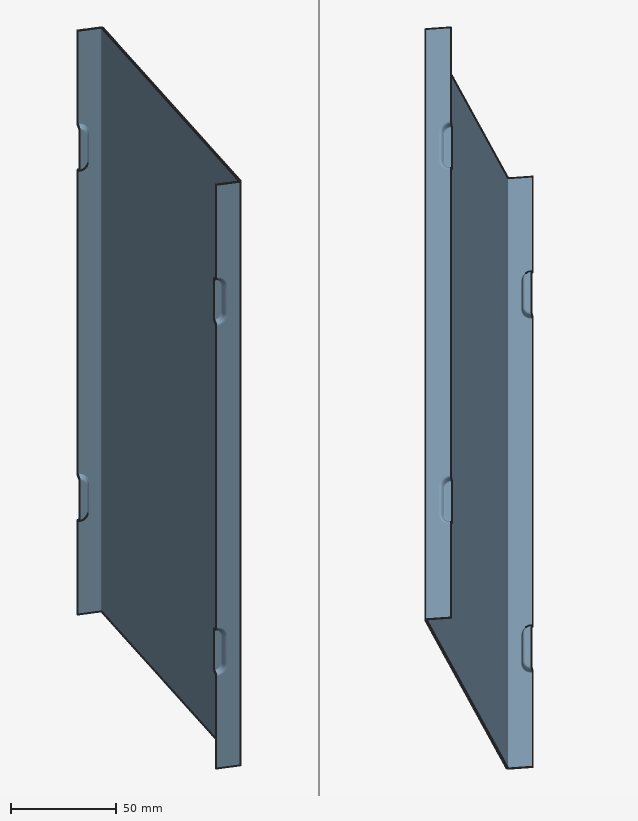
import cadquery as cq
import math

WIDTH = 202.2
DEPTH = 12.5
HEIGHT = 300.0
SHEET = 0.8
FOLD_RADIUS = 0.45

RECESS_HEIGHTS = (-90.0, 90.0)
MOUTH_LENGTH = 25.0
MOUTH_DEPTH = 5.7
MOUTH_CORNER = 5.5
PRESS_DEPTH = 2.7
BEND_RADIUS = 0.5
WALL_ANGLE = math.radians(65)

BEND_SUM = 2 * BEND_RADIUS + SHEET
WALL_RUN = (PRESS_DEPTH - BEND_SUM * (1 - math.cos(WALL_ANGLE))) / math.sin(WALL_ANGLE)
WALL_WIDTH = BEND_SUM * math.sin(WALL_ANGLE) + WALL_RUN * math.cos(WALL_ANGLE)

LEFT_X = -WIDTH / 2
FRONT_Y = -DEPTH / 2


def tray():
    """Back panel and two plain flanges, full height."""
    outer_radius = FOLD_RADIUS + SHEET
    channel_width = WIDTH - 2 * SHEET
    block = cq.Workplane("XY").box(WIDTH, DEPTH, HEIGHT).edges("|Z and >Y").fillet(outer_radius)
    channel = (
        cq.Workplane("XY", origin=(0, -SHEET, 0))
        .box(channel_width, DEPTH, HEIGHT)
        .edges("|Z and >Y")
        .fillet(FOLD_RADIUS)
    )
    return block.cut(channel)


def recess_edge(offset):
    """Open outline of a recess on the flange face, moved inward from its mouth."""
    half = MOUTH_LENGTH / 2 - offset
    back = FRONT_Y + MOUTH_DEPTH - offset
    corner = MOUTH_CORNER - offset
    inset = corner * (1 - math.sqrt(0.5))
    return (
        cq.Workplane("YZ", origin=(LEFT_X, 0, 0))
        .moveTo(FRONT_Y, -half)
        .lineTo(back - corner, -half)
        .threePointArc((back - inset, -half + inset), (back, -half + corner))
        .lineTo(back, half - corner)
        .threePointArc((back - inset, half - inset), (back - corner, half))
        .lineTo(FRONT_Y, half)
    )


def recess_wall():
    """S-shaped strip of sheet swept around the recess edge."""
    tight = BEND_RADIUS
    wide = BEND_RADIUS + SHEET

    def entry_bend(radius, angle):
        return (wide - radius * math.cos(angle), radius * math.sin(angle))

    def floor_bend(radius, angle):
        return (PRESS_DEPTH - tight + radius * math.cos(angle), WALL_WIDTH - radius * math.sin(angle))

    half_angle = WALL_ANGLE / 2
    start = (LEFT_X, FRONT_Y, -MOUTH_LENGTH / 2)
    section = (
        cq.Workplane(cq.Plane(origin=start, xDir=(1, 0, 0), normal=(0, -1, 0)))
        .moveTo(*entry_bend(wide, 0))
        .threePointArc(entry_bend(wide, half_angle), entry_bend(wide, WALL_ANGLE))
        .lineTo(*floor_bend(tight, WALL_ANGLE))
        .threePointArc(floor_bend(tight, half_angle), floor_bend(tight, 0))
        .lineTo(*floor_bend(wide, 0))
        .threePointArc(floor_bend(wide, half_angle), floor_bend(wide, WALL_ANGLE))
        .lineTo(*entry_bend(tight, WALL_ANGLE))
        .threePointArc(entry_bend(tight, half_angle), entry_bend(tight, 0))
        .close()
    )
    return section.sweep(recess_edge(0))


def pressed_recess():
    """Pressed wall and floor of one left-hand recess, centred at Z = 0."""
    floor = recess_edge(WALL_WIDTH).close().extrude(SHEET).translate((PRESS_DEPTH, 0, 0))
    return recess_wall().union(floor)


mouth = recess_edge(0).close().extrude(SHEET)
pressing = pressed_recess()

result = tray()
for height in RECESS_HEIGHTS:
    for mirrored in (False, True):
        opening = mouth.mirror("YZ") if mirrored else mouth
        pressed = pressing.mirror("YZ") if mirrored else pressing
        result = result.cut(opening.translate((0, 0, height)))
        result = result.union(pressed.translate((0, 0, height)))